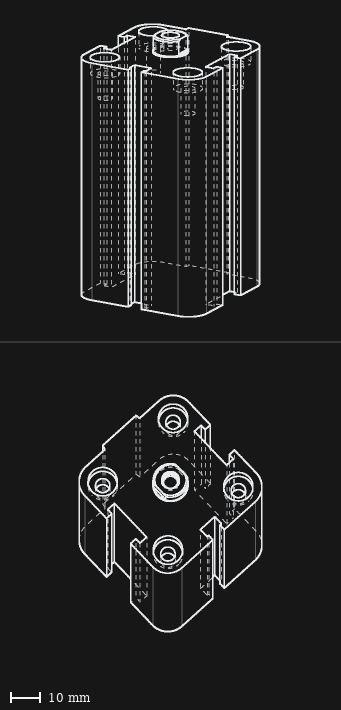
import cadquery as cq

total_height = 90.5
body_width = 48.0
half_width = body_width / 2
corner_radius = 7.1
rod_length = 6.0
housing_height = total_height - rod_length

rail_height = 1.5
rail_base_width = 16.0
rail_top_width = 15.4

side_slot_mouth = 11.95
side_slot_inner = 16.0
side_slot_lip = 2.4
side_slot_depth = 5.5
front_slot_mouth = 5.25
front_slot_inner = 6.6
front_slot_lip = 2.2
front_slot_depth = 5.5

hole_pitch = 32.5
hole_diameter = 4.9
counterbore_diameter = 10.0
counterbore_depth = 5.6
hole_depth = 14.5

collar_diameter = 12.0
collar_height = 0.4
rod_diameter = 11.7
rod_chamfer = 0.5
flat_width = 10.0
flat_length = 5.1
bore_diameter = 4.9
bore_mouth_diameter = 6.0
bore_mouth_depth = 1.9
bore_depth = 4.5


def t_slot_cutter(mouth, inner, lip, depth):
    """T-slot opening towards -Y in the -Y face of the housing."""
    outline = [
        (-mouth / 2, 0),
        (mouth / 2, 0),
        (mouth / 2, lip),
        (inner / 2, lip),
        (inner / 2, depth),
        (-inner / 2, depth),
        (-inner / 2, lip),
        (-mouth / 2, lip),
    ]
    return (
        cq.Workplane("XY")
        .polyline(outline)
        .close()
        .extrude(housing_height)
        .translate((0, -half_width, 0))
    )


def make_rail():
    """Rail with sloping sides on the +Y face, rooted at the housing axis."""
    outline = [
        (-rail_base_width / 2, 0),
        (rail_base_width / 2, 0),
        (rail_base_width / 2, half_width),
        (rail_top_width / 2, half_width + rail_height),
        (-rail_top_width / 2, half_width + rail_height),
        (-rail_base_width / 2, half_width),
    ]
    return cq.Workplane("XY").polyline(outline).close().extrude(housing_height)


def make_housing():
    """Rounded square block with a rail, three T-slots and four blind counterbored holes."""
    body = (
        cq.Workplane("XY")
        .rect(body_width, body_width)
        .extrude(housing_height)
        .edges("|Z")
        .fillet(corner_radius)
        .union(make_rail())
    )

    body = body.cut(
        t_slot_cutter(front_slot_mouth, front_slot_inner, front_slot_lip, front_slot_depth)
    )
    side_slot = t_slot_cutter(side_slot_mouth, side_slot_inner, side_slot_lip, side_slot_depth)
    for angle in (-90, 90):
        body = body.cut(side_slot.rotate((0, 0, 0), (0, 0, 1), angle))

    return (
        body.faces(">Z")
        .workplane(origin=(0, 0, 0))
        .rect(hole_pitch, hole_pitch, forConstruction=True)
        .vertices()
        .cboreHole(hole_diameter, counterbore_diameter, counterbore_depth, hole_depth)
    )


def make_rod():
    """Rod end standing on the housing, with two wrench flats facing -X and +X."""
    collar = cq.Workplane("XY").circle(collar_diameter / 2).extrude(collar_height)
    rod = (
        cq.Workplane("XY")
        .circle(rod_diameter / 2)
        .extrude(rod_length)
        .faces(">Z")
        .chamfer(rod_chamfer)
        .union(collar)
    )

    flat_bottom = rod_length - flat_length
    between_flats = (
        cq.Workplane("XY", origin=(0, 0, flat_bottom))
        .rect(flat_width, collar_diameter)
        .extrude(flat_length)
    )
    below_flats = cq.Workplane("XY").circle(collar_diameter / 2).extrude(flat_bottom)
    rod = rod.intersect(between_flats.union(below_flats))

    rod = (
        rod.faces(">Z")
        .workplane(origin=(0, 0, 0))
        .cboreHole(bore_diameter, bore_mouth_diameter, bore_mouth_depth, bore_depth)
    )
    return rod.translate((0, 0, housing_height))


housing = make_housing()
rod = make_rod()

result = cq.Compound.makeCompound([housing.val(), rod.val()])